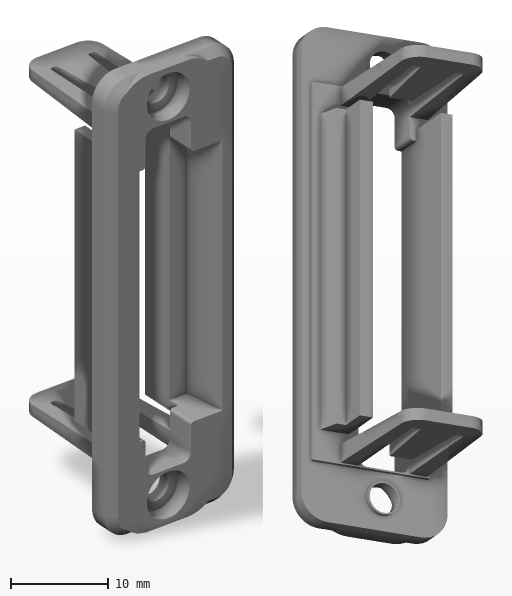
import cadquery as cq

PLATE_LENGTH = 54.15
PLATE_WIDTH = 16.75
PLATE_THICKNESS = 3.1
OVERALL_DEPTH = 19.0
PLATE_CORNER_RADIUS = 3.0
CHAMFER = 1.0

PAD_HEIGHT = 0.5
PAD_Y_MIN = -6.1
PAD_Y_MAX = 7.3
PAD_HALF_LENGTH = 20.7
PAD_X = -PAD_HEIGHT

CLIP_Y = -0.85
SCREW_Z = 23.6
SCREW_DIAMETER = 3.25
COLLAR_DIAMETER = 3.65
COUNTERBORE_X = 1.05
COUNTERBORE_DIAMETER = 5.5

LAND_FLAT_WIDTH = 5.05
LAND_CORNER_RADIUS = 4.0

CLIP_TIP_X = PLATE_THICKNESS - OVERALL_DEPTH
CLIP_OUTER_Z = 20.5
CLIP_TIP_HALF_WIDTH = 4.5
CLIP_ROOT_HALF_WIDTH = 5.0
CLIP_CORNER_RADIUS = 2.0
CLIP_TIP_THICKNESS = 1.3
CLIP_ROOT_THICKNESS = 2.0
SLOT_START_X = CLIP_TIP_X + 2.6
SLOT_OUTER_HALF_WIDTH = 2.9
SLOT_END_RADIUS = 0.4
TONGUE_START_HALF_WIDTH = 2.0
TONGUE_END_HALF_WIDTH = 1.3
TONGUE_END_X = CLIP_TIP_X + 11.4

WALL_HALF_LENGTH = 17.3
WALL_TIP_X = PAD_X - 5.7
LOW_WALL_Y_MIN = -5.95
LOW_WALL_Y_MAX = -4.6
HIGH_WALL_Y_MIN = 3.15
HIGH_WALL_Y_MAX = 4.65
SHOULDER_X = PAD_X - 2.4
SHOULDER_Y = 5.75
SHOULDER_ROOT_Y = 6.45
WINDOW_HALF_LENGTH = 16.05
RECESS_X = PAD_X - 1.45
RECESS_START_Y = 5.35
RECESS_END_Y = 6.2
NECK_HALF_WIDTH = SLOT_OUTER_HALF_WIDTH
NECK_CORNER_RADIUS = 1.0
TAB_CORNER_RADIUS = 0.4


def block(x_min, x_max, y_min, y_max, z_min, z_max):
    size = (x_max - x_min, y_max - y_min, z_max - z_min)
    return cq.Workplane("XY").box(*size, centered=False).translate((x_min, y_min, z_min))


def bar_along_z(profile, half_length):
    return cq.Workplane("XY").polyline(profile).close().extrude(half_length, both=True)


def disc_along_x(diameter, x_min, x_max, z):
    plane = cq.Workplane("YZ", origin=(x_min, CLIP_Y, z))
    return plane.circle(diameter / 2).extrude(x_max - x_min)


def make_plate():
    outline = block(
        0, PLATE_THICKNESS,
        -PLATE_WIDTH / 2, PLATE_WIDTH / 2,
        -PLATE_LENGTH / 2, PLATE_LENGTH / 2,
    )
    outline = outline.edges("|X").fillet(PLATE_CORNER_RADIUS)
    plate = outline.faces(">X").edges().chamfer(CHAMFER)
    half_width = LAND_FLAT_WIDTH / 2 + LAND_CORNER_RADIUS
    land = block(
        0, PLATE_THICKNESS,
        CLIP_Y - half_width, CLIP_Y + half_width,
        PAD_HALF_LENGTH, PLATE_LENGTH / 2,
    )
    land = land.edges("|X and >Z").fillet(LAND_CORNER_RADIUS)
    return plate.union(land).union(land.mirror("XY"))


def make_clip():
    outline = (
        cq.Workplane("XY")
        .polyline([
            (CLIP_TIP_X, CLIP_Y - CLIP_TIP_HALF_WIDTH),
            (CLIP_TIP_X, CLIP_Y + CLIP_TIP_HALF_WIDTH),
            (PAD_X, CLIP_Y + CLIP_ROOT_HALF_WIDTH),
            (PAD_X, CLIP_Y - CLIP_ROOT_HALF_WIDTH),
        ])
        .close()
        .extrude(PLATE_LENGTH / 2)
        .edges("|Z and <X")
        .fillet(CLIP_CORNER_RADIUS)
    )
    opening = block(
        TONGUE_END_X, PAD_X,
        CLIP_Y - SLOT_OUTER_HALF_WIDTH, CLIP_Y + SLOT_OUTER_HALF_WIDTH,
        0, PLATE_LENGTH / 2,
    )
    clip = outline.cut(opening)
    for side in (-1, 1):
        slot = (
            cq.Workplane("XY")
            .polyline([
                (SLOT_START_X, CLIP_Y + side * SLOT_OUTER_HALF_WIDTH),
                (SLOT_START_X, CLIP_Y + side * TONGUE_START_HALF_WIDTH),
                (TONGUE_END_X, CLIP_Y + side * TONGUE_END_HALF_WIDTH),
                (TONGUE_END_X, CLIP_Y + side * SLOT_OUTER_HALF_WIDTH),
            ])
            .close()
            .extrude(PLATE_LENGTH / 2)
            .edges("|Z and <X")
            .fillet(SLOT_END_RADIUS)
        )
        clip = clip.cut(slot)
    side_profile = (
        cq.Workplane("XZ")
        .polyline([
            (CLIP_TIP_X, CLIP_OUTER_Z),
            (PAD_X, CLIP_OUTER_Z),
            (PAD_X, CLIP_OUTER_Z - CLIP_ROOT_THICKNESS),
            (CLIP_TIP_X, CLIP_OUTER_Z - CLIP_TIP_THICKNESS),
        ])
        .close()
        .extrude(PLATE_WIDTH, both=True)
    )
    return clip.intersect(side_profile)


def make_walls():
    low_wall = block(
        WALL_TIP_X, PAD_X,
        LOW_WALL_Y_MIN, LOW_WALL_Y_MAX,
        -WALL_HALF_LENGTH, WALL_HALF_LENGTH,
    )
    high_wall = bar_along_z(
        [
            (WALL_TIP_X, HIGH_WALL_Y_MIN),
            (WALL_TIP_X, HIGH_WALL_Y_MAX),
            (SHOULDER_X, HIGH_WALL_Y_MAX),
            (SHOULDER_X, SHOULDER_Y),
            (PAD_X, SHOULDER_ROOT_Y),
            (PAD_X, HIGH_WALL_Y_MIN),
        ],
        WALL_HALF_LENGTH,
    )
    return low_wall.union(high_wall)


def make_window():
    opening = block(
        PAD_X, PLATE_THICKNESS,
        LOW_WALL_Y_MAX, HIGH_WALL_Y_MIN,
        -WINDOW_HALF_LENGTH, WINDOW_HALF_LENGTH,
    )
    recess = bar_along_z(
        [
            (RECESS_X, HIGH_WALL_Y_MIN),
            (RECESS_X, RECESS_START_Y),
            (PLATE_THICKNESS, RECESS_END_Y),
            (PLATE_THICKNESS, HIGH_WALL_Y_MIN),
        ],
        WINDOW_HALF_LENGTH,
    )
    neck = block(
        PAD_X, PLATE_THICKNESS,
        CLIP_Y - NECK_HALF_WIDTH, CLIP_Y + NECK_HALF_WIDTH,
        -CLIP_OUTER_Z, CLIP_OUTER_Z,
    )
    neck = neck.edges("|X").fillet(NECK_CORNER_RADIUS)
    window = opening.union(neck)
    tab_reach_y = NECK_HALF_WIDTH + TAB_CORNER_RADIUS
    tab_reach_z = WINDOW_HALF_LENGTH + TAB_CORNER_RADIUS
    tab_corners = cq.selectors.BoxSelector(
        (PAD_X, CLIP_Y - tab_reach_y, -tab_reach_z),
        (PLATE_THICKNESS, CLIP_Y + tab_reach_y, tab_reach_z),
    )
    window = window.edges("|X").edges(tab_corners).fillet(TAB_CORNER_RADIUS)
    return window.union(recess)


pad = block(PAD_X, 0, PAD_Y_MIN, PAD_Y_MAX, -PAD_HALF_LENGTH, PAD_HALF_LENGTH)
clip = make_clip()
result = make_plate().union(pad).union(make_walls())
for z in (-SCREW_Z, SCREW_Z):
    result = result.union(disc_along_x(COLLAR_DIAMETER, PAD_X, 0, z))
    result = result.cut(disc_along_x(SCREW_DIAMETER, PAD_X, PLATE_THICKNESS, z))
    result = result.cut(disc_along_x(COUNTERBORE_DIAMETER, COUNTERBORE_X, PLATE_THICKNESS, z))
result = result.cut(make_window())
result = result.union(clip).union(clip.mirror("XY"))